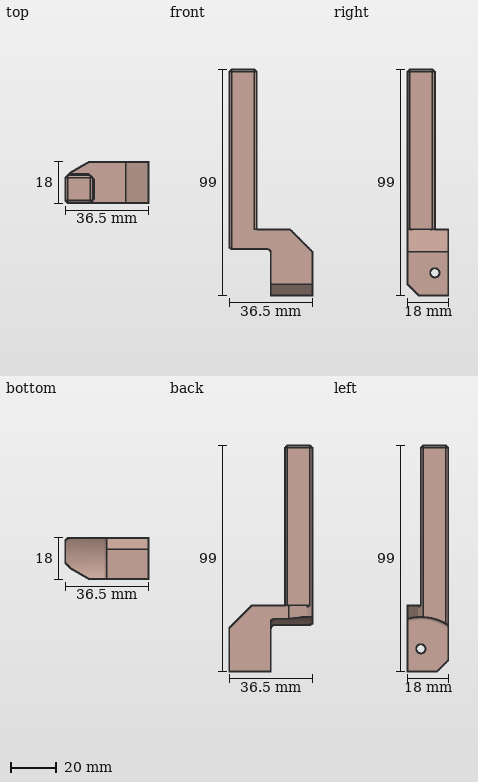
import cadquery as cq
import math

length = 36.5
depth = 18.0
height = 99

post_side = 12.2
post_chamfer = 1.2

arm_top = 29.0
shoulder_chamfer = 9.9
flank_angle = 30
flank_start_x = 2.4
flank_start_y = post_side - post_chamfer + flank_start_x

foot_left = 18.2
toe_chamfer = 5.0

pivot_y = 12.1
pivot_z = 10.0
hole_diameter = 4
arch_radius = 21.8
arch_crown = 24.0
arch_fillet = 1.4

relief = 0.6
relief_end_wall = 0.2
relief_end_inset = post_chamfer + relief_end_wall


def make_post():
    """Square post with bevelled long edges and a bevelled top."""
    post = cq.Workplane("XY").box(post_side, post_side, height, centered=False)
    return post.edges("|Z or >Z").chamfer(post_chamfer)


def make_arm_and_foot():
    """Block with a bevelled plan outline, a sloped shoulder and a sloped toe."""
    flank_run = (depth - flank_start_y) / math.tan(math.radians(flank_angle))
    block = (
        cq.Workplane("XY")
        .moveTo(post_chamfer, 0)
        .lineTo(length, 0)
        .lineTo(length, depth)
        .lineTo(flank_start_x + flank_run, depth)
        .lineTo(flank_start_x, flank_start_y)
        .lineTo(0, post_side - post_chamfer)
        .lineTo(0, post_chamfer)
        .close()
        .extrude(arm_top)
    )
    block = block.edges(">X and >Z").chamfer(shoulder_chamfer)
    return block.edges("<Y and <Z").chamfer(toe_chamfer)


def make_clearance():
    """Space left of the foot, with an arched roof rounded into the foot face."""
    arch = (
        cq.Workplane("YZ")
        .center(pivot_y, arch_crown - arch_radius)
        .circle(arch_radius)
        .extrude(foot_left)
        .faces(">X")
        .edges()
        .fillet(arch_fillet)
    )
    below = cq.Workplane("XY").box(foot_left, depth, arch_crown - arch_radius, centered=False)
    return arch.union(below)


def relief_wedge(run):
    """Wedge along +X with mitred ends, its floor falling from the post toward +Y."""
    wedge = (
        cq.Workplane("YZ")
        .polyline([(0, 0), (relief, 0), (relief, -relief)])
        .close()
        .extrude(run)
    )
    mitred_plan = (
        cq.Workplane("XY")
        .polyline([(0, 0), (run, 0), (run - relief, relief), (relief, relief)])
        .close()
        .extrude(-relief)
    )
    return wedge.intersect(mitred_plan)


def make_reliefs():
    """Relief wedges along the two post faces that rise from the arm."""
    run = post_side - 2 * relief_end_inset
    back = relief_wedge(run).translate((relief_end_inset, post_side, arm_top))
    side = (
        relief_wedge(run)
        .rotate((0, 0, 0), (0, 0, 1), -90)
        .translate((post_side, post_side - relief_end_inset, arm_top))
    )
    return back, side


result = make_post().union(make_arm_and_foot()).cut(make_clearance())
for wedge in make_reliefs():
    result = result.cut(wedge)

pivot_hole = (
    cq.Workplane("YZ")
    .center(pivot_y, pivot_z)
    .circle(hole_diameter / 2)
    .extrude(length)
)
result = result.cut(pivot_hole)